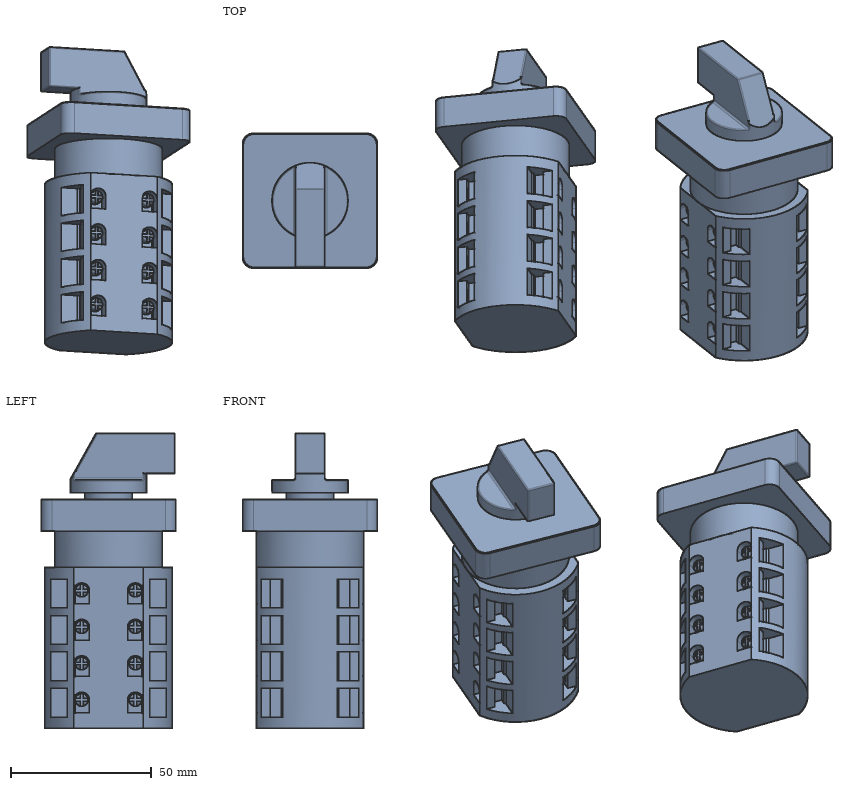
import cadquery as cq
import math

body_top = 57.2
neck_top = 70.1
plate_top = 81.6
shaft_top = 83.8
disc_top = 88.4
overhang_z = 90.6
total_height = 105

body_diameter = 45.5
body_width = 38.1
body_radius = body_diameter / 2
flat_x = body_width / 2
neck_diameter = 38.3

plate_size = 48.0
plate_corner_radius = 3.9
plate_edge = 0.3

shaft_radius = 8.5
disc_radius = 13.5
disc_edge = 0.37
grip_width = 10.5
grip_edge = 0.4
grip_tip_y = -23.6
grip_slope_top_y = 4.4
grip_slope_bottom_y = 13.6
grip_root_radius = 0.7

stage_count = 4
stages_height = 51.9
stage_pitch = stages_height / stage_count
wire_pocket_base = 4.0
wire_pocket_height = 10.2
wire_pocket_inner_x = 9.8
wire_pocket_outer_x = 17.3
wire_pocket_floor_y = 14.6
recess_inner_x = 10.3
recess_outer_x = 14.1
recess_taper_y = 13.9
recess_floor_y = 11.9

screw_y = 9.6
screw_base_z = 10.1
screw_pocket_radius = 2.7
screw_pocket_sill = 4.6
screw_pocket_depth = 4.8
screw_diameter = 4.5
screw_rounding = 0.8
screw_face_inset = 1.7
screw_slot_width = 1.0
screw_slot_depth = 0.6


def cylinder(radius, bottom, top):
    return cq.Workplane("XY").workplane(offset=bottom).circle(radius).extrude(top - bottom)


def make_body():
    blank = cylinder(body_radius, 0, body_top)
    flats = cq.Workplane("XY").box(body_width, body_diameter, body_top, centered=(True, True, False))
    return blank.intersect(flats)


def make_plate():
    plate = (
        cq.Workplane("XY")
        .workplane(offset=neck_top)
        .rect(plate_size, plate_size)
        .extrude(plate_top - neck_top)
    )
    return plate.edges("|Z").fillet(plate_corner_radius).faces(">Z").edges().chamfer(plate_edge)


def grip_side_prism(bottom, tip_y):
    """Side outline of the knob above `bottom`, from `tip_y` to the +Y slope, as wide as the disc."""
    slope = (grip_slope_bottom_y - grip_slope_top_y) / (total_height - disc_top)
    bottom_y = grip_slope_top_y + slope * (total_height - bottom)
    outline = [
        (tip_y, bottom),
        (tip_y, total_height),
        (grip_slope_top_y, total_height),
        (bottom_y, bottom),
    ]
    return cq.Workplane("YZ").polyline(outline).close().extrude(disc_radius, both=True)


def make_knob():
    half_grip = grip_width / 2
    root_x = half_grip + grip_root_radius
    root_z = disc_top + grip_root_radius
    root_top = overhang_z + 2 * grip_edge
    disc_middle_z = (shaft_top + disc_top) / 2
    rim_half_y = math.sqrt(disc_radius**2 - root_x**2)

    root_section = (
        cq.Workplane("XZ")
        .moveTo(-disc_radius, shaft_top)
        .lineTo(-disc_radius, disc_top)
        .lineTo(-root_x, disc_top)
        .radiusArc((-half_grip, root_z), -grip_root_radius)
        .lineTo(-half_grip, root_top)
        .lineTo(half_grip, root_top)
        .lineTo(half_grip, root_z)
        .radiusArc((root_x, disc_top), -grip_root_radius)
        .lineTo(disc_radius, disc_top)
        .lineTo(disc_radius, shaft_top)
        .close()
        .extrude(disc_radius, both=True)
    )
    root = root_section.intersect(cylinder(disc_radius, shaft_top, root_top))
    root = root.intersect(grip_side_prism(shaft_top, -disc_radius))

    rim_arcs = cq.selectors.BoxSelector(
        (-2 * disc_radius, -rim_half_y, disc_middle_z),
        (2 * disc_radius, rim_half_y, root_z),
    )
    root = root.edges(rim_arcs).edges("%CIRCLE").fillet(disc_edge)

    grip_slab = cq.Workplane("XY").box(
        grip_width, 4 * disc_radius, total_height - overhang_z, centered=(True, True, False)
    )
    grip = grip_side_prism(overhang_z, grip_tip_y).intersect(grip_slab.translate((0, 0, overhang_z)))
    grip = grip.edges().fillet(grip_edge)
    return root.union(grip).union(cylinder(shaft_radius, plate_top, shaft_top))


def make_wire_pocket():
    """Corner pocket on the -X, -Y side, with a narrower recess in its floor."""
    outline = [
        (-wire_pocket_outer_x, -body_radius),
        (-wire_pocket_outer_x, -wire_pocket_floor_y),
        (-recess_outer_x, -wire_pocket_floor_y),
        (-recess_outer_x, -recess_floor_y),
        (-recess_inner_x, -recess_floor_y),
        (-recess_inner_x, -recess_taper_y),
        (-wire_pocket_inner_x, -wire_pocket_floor_y),
        (-wire_pocket_inner_x, -body_radius),
    ]
    return (
        cq.Workplane("XY")
        .workplane(offset=wire_pocket_base)
        .polyline(outline)
        .close()
        .extrude(wire_pocket_height)
    )


def make_screw_pocket():
    """Arched pocket in the -X flat with a cross-slotted screw head left standing in it."""
    floor_x = screw_pocket_depth - flat_x
    face_x = screw_face_inset - flat_x
    head_height = floor_x - face_x

    def start(x):
        return cq.Workplane("YZ", origin=(x, -screw_y, screw_base_z))

    pocket = (
        start(-flat_x)
        .moveTo(-screw_pocket_radius, -screw_pocket_sill)
        .lineTo(-screw_pocket_radius, 0)
        .threePointArc((0, screw_pocket_radius), (screw_pocket_radius, 0))
        .lineTo(screw_pocket_radius, -screw_pocket_sill)
        .close()
        .extrude(screw_pocket_depth)
    )
    head = start(face_x).circle(screw_diameter / 2).extrude(head_height)
    head = head.faces("<X").edges().fillet(screw_rounding)
    for width, height in ((screw_diameter, screw_slot_width), (screw_slot_width, screw_diameter)):
        head = head.cut(start(face_x).rect(width, height).extrude(screw_slot_depth))
    return pocket.cut(head)


def cut_stages(body):
    """Cut every stage's pockets in all four corners of the body."""
    corner = [make_wire_pocket(), make_screw_pocket()]
    side = corner + [pocket.mirror("XZ") for pocket in corner]
    ring = side + [pocket.mirror("YZ") for pocket in side]
    for stage in range(stage_count):
        for pocket in ring:
            body = body.cut(pocket.translate((0, 0, stage * stage_pitch)))
    return body


result = (
    cut_stages(make_body())
    .union(cylinder(neck_diameter / 2, body_top, neck_top))
    .union(make_plate())
    .union(make_knob())
)